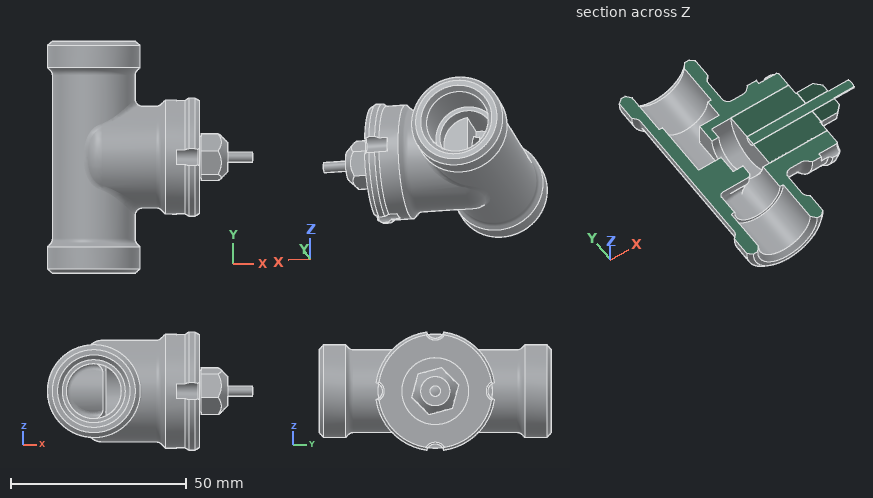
import cadquery as cq
import math


pipe_length = 66.0
pipe_radius = 11.8
collar_radius = 13.22
collar_inner_edge = 25.5
end_chamfer_length = 1.25
neck_fillet = 2.0

port_radius = 8.95
port_chamfer = 1.35
port_chamfer_length = 1.6
port_shoulder = 18.0
bore_radius = 7.8

branch_radius = 14.5
branch_back = -2.5
branch_back_fillet = 5.0
junction_fillet = 2.0

head_radius = 16.25
head_start = 17.75
rim_radius = 17.0
rim_cone_start = 25.9
rim_start = 27.0
rim_chamfer_start = 28.7
rim_face_radius = 16.2
branch_face = 30.1
slot_count = 4
slot_radius = 2.5
slot_axis_radius = 17.5
slot_start = 23.5
slot_flare = 0.5

chamber_radius = 9.5
chamber_floor = 3.4
seat_chamfer = 0.83
seat_wall_radius = chamber_radius + seat_chamfer
seat_wall_fillet = 1.2
seat_hole_radius = 6.0
seat_thickness = 2.4
outlet_bore_end = seat_wall_radius + 2.0

bonnet_start = 10.0
bonnet_boss_radius = 6.0
gland_start = 30.5
gland_end = 38.1
gland_flats = 12.0
gland_turn = 15.0
gland_tip_radius = 4.15
pin_radius = 1.5
pin_end = 45.3
pin_dome_height = 0.25

half_length = pipe_length / 2
fillet_run = neck_fillet * math.sin(math.radians(45))
fillet_rise = neck_fillet - fillet_run


def cylinder_x(radius, start, end):
    return cq.Workplane("YZ").workplane(offset=start).circle(radius).extrude(end - start)


def cylinder_y(radius, start, end):
    return cq.Workplane("XZ").workplane(offset=-end).circle(radius).extrude(end - start)


def arc_middle(start, base_radius):
    """Middle point of a 45 degree arc that leaves a cylinder tangentially and curls outward."""
    half_turn = math.radians(22.5)
    along = start + neck_fillet * math.sin(half_turn)
    return along, base_radius + neck_fillet * (1 - math.cos(half_turn))


def collared_pipe():
    """Pipe with a collar at each end; a 45 degree neck blends each collar into the pipe."""
    cone_start_radius = pipe_radius + fillet_rise
    cone_start = collar_inner_edge - (collar_radius - cone_start_radius)
    blend_start = cone_start - fillet_run
    middle_along, middle_radius = arc_middle(blend_start, pipe_radius)
    half_pipe = (
        cq.Workplane("XY")
        .lineTo(pipe_radius, 0)
        .lineTo(pipe_radius, blend_start)
        .threePointArc((middle_radius, middle_along), (cone_start_radius, cone_start))
        .lineTo(collar_radius, collar_inner_edge)
        .lineTo(collar_radius, half_length - end_chamfer_length)
        .lineTo(pipe_radius, half_length)
        .lineTo(0, half_length)
        .close()
        .revolve(360, (0, 0, 0), (0, 1, 0))
    )
    pipe = half_pipe.union(half_pipe.mirror("XZ"))
    return pipe.rotate((0, 0, 0), (0, 1, 0), 180)


def branch_with_head():
    """Branch with a rounded back, a 45 degree shoulder under the head, and a rim."""
    blend_end = head_start + fillet_run
    blend_end_radius = branch_radius + fillet_rise
    shoulder_end = blend_end + head_radius - blend_end_radius
    branch = (
        cq.Workplane("XY")
        .moveTo(branch_back, 0)
        .lineTo(branch_back, branch_radius)
        .lineTo(head_start, branch_radius)
        .threePointArc(arc_middle(head_start, branch_radius), (blend_end, blend_end_radius))
        .lineTo(shoulder_end, head_radius)
        .lineTo(rim_cone_start, head_radius)
        .lineTo(rim_start, rim_radius)
        .lineTo(rim_chamfer_start, rim_radius)
        .lineTo(branch_face, rim_face_radius)
        .lineTo(branch_face, 0)
        .close()
        .revolve(360, (0, 0, 0), (1, 0, 0))
    )
    return branch.faces("<X").edges().fillet(branch_back_fillet)


def rim_slots():
    """Round-bottomed notches across the rim, flared at the branch face."""
    flare_start = branch_face - slot_flare
    slots = (
        cq.Workplane("YZ", origin=(slot_start, 0, 0))
        .polarArray(slot_axis_radius, 0, 360, slot_count)
        .circle(slot_radius)
        .extrude(branch_face - slot_start)
    )
    flares = (
        cq.Workplane("YZ", origin=(flare_start, 0, 0))
        .polarArray(slot_axis_radius, 0, 360, slot_count)
        .circle(slot_radius)
        .extrude(slot_flare, taper=-45)
    )
    return slots.union(flares)


def housing_outside():
    body = collared_pipe().union(branch_with_head())
    junction = [
        edge for edge in body.edges().vals()
        if edge.geomType() not in ("LINE", "CIRCLE")
    ]
    body = body.newObject(junction).fillet(junction_fillet)
    return body.cut(rim_slots())


def port():
    """Chamfered opening of the pipe at the +Y end, down to the step in the bore."""
    return (
        cq.Workplane("XY")
        .moveTo(0, half_length)
        .lineTo(port_radius + port_chamfer, half_length)
        .lineTo(port_radius, half_length - port_chamfer_length)
        .lineTo(port_radius, port_shoulder)
        .lineTo(0, port_shoulder)
        .close()
        .revolve(360, (0, 0, 0), (0, 1, 0))
    )


def inlet_bore():
    """Bore from the -Y port, ending on the round wall under the seat and opening above it."""
    seat_wall = cylinder_x(seat_wall_radius, -collar_radius, chamber_floor)
    seat_wall = seat_wall.faces(">X").chamfer(seat_chamfer)
    bore = cylinder_y(bore_radius, -port_shoulder, 0).cut(seat_wall)
    wall_foot = [
        edge for edge in bore.edges().vals()
        if edge.geomType() not in ("LINE", "CIRCLE")
        and edge.BoundingBox().xmax < chamber_floor - seat_chamfer / 2
    ]
    return bore.newObject(wall_foot).fillet(seat_wall_fillet)


def outlet_bore():
    """Bore from the +Y port that continues under the seat to the seat hole."""
    bore = cylinder_y(bore_radius, outlet_bore_end, port_shoulder)
    ceiling = chamber_floor - seat_thickness
    room_below_seat = cylinder_x(seat_wall_radius + bore_radius, -bore_radius, ceiling)
    under_seat = cylinder_y(bore_radius, 0, outlet_bore_end).intersect(room_below_seat)
    seat_hole = cylinder_x(seat_hole_radius, 0, chamber_floor)
    return bore.union(under_seat).union(seat_hole)


def make_housing():
    body = housing_outside().cut(port()).cut(port().mirror("XZ"))
    chamber = cylinder_x(chamber_radius, chamber_floor, branch_face)
    return body.cut(inlet_bore()).cut(outlet_bore()).cut(chamber)


def make_bonnet():
    """Plug that closes the chamber, with a low boss under the gland."""
    plug = cylinder_x(chamber_radius, bonnet_start, branch_face)
    boss = cylinder_x(bonnet_boss_radius, branch_face, gland_start)
    return plug.union(boss).cut(cylinder_x(pin_radius, bonnet_start, gland_start))


def make_gland():
    """Hexagon with its outer end turned down to a 45 degree cone."""
    corner_radius = gland_flats / 2 / math.cos(math.radians(30))
    cone_start = gland_end - (corner_radius - gland_tip_radius)
    hexagon = (
        cq.Workplane("YZ")
        .workplane(offset=gland_start)
        .polygon(6, 2 * corner_radius)
        .extrude(gland_end - gland_start)
        .rotate((0, 0, 0), (1, 0, 0), gland_turn)
    )
    envelope = (
        cq.Workplane("XY")
        .moveTo(gland_start, 0)
        .lineTo(gland_start, corner_radius)
        .lineTo(cone_start, corner_radius)
        .lineTo(gland_end, gland_tip_radius)
        .lineTo(gland_end, 0)
        .close()
        .revolve(360, (0, 0, 0), (1, 0, 0))
    )
    return hexagon.intersect(envelope).cut(cylinder_x(pin_radius, gland_start, gland_end))


def make_pin():
    """Straight pin with a slightly domed outer end."""
    dome_radius = (pin_radius**2 + pin_dome_height**2) / (2 * pin_dome_height)
    dome_angle = math.asin(pin_radius / dome_radius) / 2
    dome_middle = (
        pin_end - dome_radius * (1 - math.cos(dome_angle)),
        dome_radius * math.sin(dome_angle),
    )
    return (
        cq.Workplane("XY")
        .moveTo(bonnet_start, 0)
        .lineTo(bonnet_start, pin_radius)
        .lineTo(pin_end - pin_dome_height, pin_radius)
        .threePointArc(dome_middle, (pin_end, 0))
        .close()
        .revolve(360, (0, 0, 0), (1, 0, 0))
    )


housing = make_housing()
bonnet = make_bonnet()
gland = make_gland()
pin = make_pin()

result = cq.Compound.makeCompound([
    housing.solids().val(),
    bonnet.solids().val(),
    gland.solids().val(),
    pin.solids().val(),
])